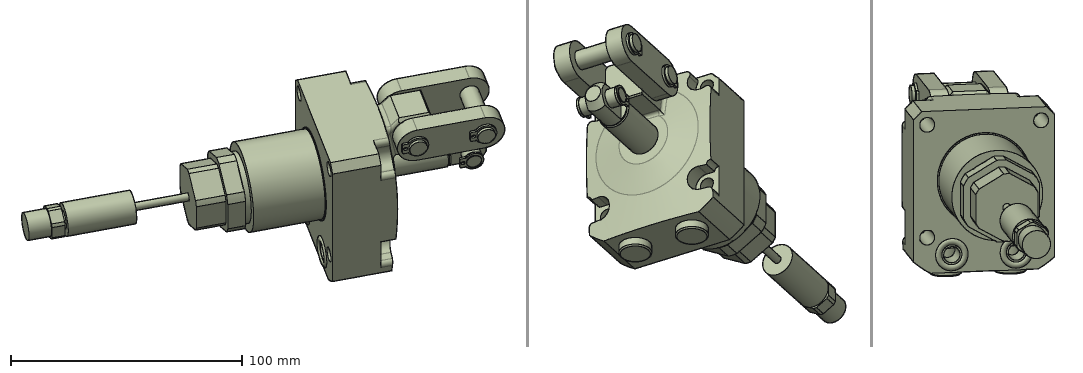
import cadquery as cq
import math


block_width = 62.0
block_height = 71.8
half_width = block_width / 2
block_top = half_width
block_bottom = block_top - block_height
top_chamfer = 3.5
bottom_chamfer_x = 5.9
bottom_chamfer_z = 4.6

cap_y = 33.2
cap_radius = 12.2
cone_break_y = 30.0
cone_break_radius = 25.6
cone_rim_y = 26.5
cone_rim_radius = 47.3

hole_offset = 25.0
hole_diameter = 6.5
pocket_floor_y = 21.6
pocket_radius = 5.5
pocket_edge_radius = 2.0
pocket_overrun = 2.0

barrel_radius = 20.0
barrel_end_y = -32.3
collar_radius = 20.5
collar_height = 0.5
neck_radius = 16.0
large_nut_start_y = -35.0
large_nut_end_y = -43.0
large_nut_flats = 33.4
large_nut_corners = 36.3
small_nut_end_y = -56.3
small_nut_flats = 27.3
small_nut_corners = 30.0

port_spacing = 28.4
port_x = port_spacing / 2
port_y = 16.0
port_z = -33.0
port_hole_radius = 3.5
port_ring_inner_radius = 4.5
port_ring_outer_radius = 7.1
port_ring_height = 0.8
plug_radius = 7.1
plug_height = 4.0
plug_chamfer = 0.6
plug_stem_radius = 5.5
plug_stem_top = -32.5
plug_bore_top = -27.7

lug_half_width = 9.0
lug_bottom = 11.1
lug_top = 30.9
lug_end_y = 50.0
lug_slope_start_y = 36.1
lug_slope_end_z = 23.0
lug_edge_chamfer = 1.7
lug_end_chamfer = 0.6
lug_root_y = 21.0
lug_root_fillet = 1.7

link_inner_x = lug_half_width
link_outer_x = 17.0
link_radius = 8.8
link_z = 22.0
link_near_y = 41.5
link_far_y = 72.0
link_pin_diameter = 8.6
link_pin_radius = link_pin_diameter / 2
link_pin_end_radius = 4.0
link_pin_half_length = 19.5
link_clip_diameter = 9.9
link_clip_radius = link_clip_diameter / 2
link_clip_ear_reach = 7.0

rod_radius = 7.4
rod_seat_y = 10.5
rod_shoulder_y = 58.8
rod_shoulder_chamfer = 0.6
eye_radius = 7.0
eye_half_width = 4.2
eye_flats_start_y = 59.5
eye_end_y = 76.2
eye_end_chamfer = 3.2
rod_pin_y = 68.9
rod_pin_radius = 4.2
rod_pin_end_radius = 3.4
rod_pin_shank_x = lug_half_width
rod_pin_half_length = 10.5
rod_clip_radius = 4.5
rod_clip_ear_reach = 6.3

clip_thickness = 1.0
clip_ear_width = 5.3
clip_ear_rounding = 0.8
clip_ear_hole_radius = 0.8
clip_ear_hole_inset = 1.5

cable_radius = 1.79
cable_seat_y = -49.4
connector_start_y = -81.3
connector_end_y = -112.0
connector_diameter = 15.0
connector_radius = connector_diameter / 2
connector_neck_radius = 4.2
connector_nut_start_y = -113.2
connector_nut_end_y = -119.0
connector_nut_flats = 13.7
connector_nut_corners = 15.0
connector_tip_diameter = 12.4
connector_tip_radius = connector_tip_diameter / 2
connector_tip_end_y = -129.2


def cylinder_y(radius, start_y, end_y, x=0, z=0):
    """Round bar along Y between two Y positions."""
    plane = cq.Workplane("XZ", origin=(x, start_y, z))
    return plane.circle(radius).extrude(start_y - end_y)


def cylinder_x(radius, start_x, end_x, y, z):
    """Round bar along X between two X positions."""
    return cq.Workplane("YZ", origin=(start_x, y, z)).circle(radius).extrude(end_x - start_x)


def cylinder_z(radius, start_z, end_z, x, y):
    """Round bar along Z between two Z positions."""
    return cq.Workplane("XY", origin=(x, y, start_z)).circle(radius).extrude(end_z - start_z)


def hex_nut_y(flats, corners, start_y, end_y):
    """Hexagon along Y with flats facing +-X and its corners turned down to a cylinder."""
    full_corners = flats / math.cos(math.pi / 6)
    hexagon = cq.Workplane("XZ", origin=(0, start_y, 0)).polygon(6, full_corners).extrude(start_y - end_y)
    turn_to_flats = 30
    hexagon = hexagon.rotate((0, 0, 0), (0, 1, 0), turn_to_flats)
    return hexagon.intersect(cylinder_y(corners / 2, start_y, end_y))


def make_block():
    """Chamfered block whose back face is domed by two cones."""
    outline = [
        (half_width, block_bottom + bottom_chamfer_z),
        (half_width, block_top - top_chamfer),
        (half_width - top_chamfer, block_top),
        (-half_width + top_chamfer, block_top),
        (-half_width, block_top - top_chamfer),
        (-half_width, block_bottom + bottom_chamfer_z),
        (-half_width + bottom_chamfer_x, block_bottom),
        (half_width - bottom_chamfer_x, block_bottom),
    ]
    prism = cq.Workplane("XZ").polyline(outline).close().extrude(-cap_y)
    dome_profile = [
        (0, 0),
        (cone_rim_radius, 0),
        (cone_rim_radius, cone_rim_y),
        (cone_break_radius, cone_break_y),
        (cap_radius, cap_y),
        (0, cap_y),
    ]
    dome = cq.Workplane("XY").polyline(dome_profile).close().revolve(360, (0, 0), (0, 1))
    return prism.intersect(dome)


def pocket_plane(z):
    """Sketch plane on the pocket floor, centred on the right-hand hole at height z."""
    return cq.Workplane("XZ", origin=(hole_offset, pocket_floor_y, z))


def make_upper_pocket():
    """Counterbore that opens over the top corner, with rounded edges."""
    edge = half_width - hole_offset
    outside = edge + pocket_overrun
    rounding = pocket_edge_radius
    near = edge - rounding
    far = math.sqrt((pocket_radius + rounding) ** 2 - near**2)
    share = pocket_radius / (pocket_radius + rounding)
    diagonal = pocket_radius * math.sqrt(0.5)
    profile = (
        pocket_plane(hole_offset)
        .moveTo(-far, outside)
        .lineTo(-far, edge)
        .radiusArc((-far * share, near * share), rounding)
        .threePointArc((-diagonal, -diagonal), (near * share, -far * share))
        .radiusArc((edge, -far), rounding)
        .lineTo(outside, -far)
        .lineTo(outside, outside)
        .close()
    )
    return profile.extrude(pocket_floor_y - cap_y)


def make_lower_pocket():
    """Counterbore that opens through the side face as a slot, with rounded edges."""
    edge = half_width - hole_offset
    outside = edge + pocket_overrun
    rounding = pocket_edge_radius
    mouth = pocket_radius + rounding
    profile = (
        pocket_plane(-hole_offset)
        .moveTo(outside, mouth)
        .lineTo(edge, mouth)
        .radiusArc((edge - rounding, pocket_radius), -rounding)
        .lineTo(0, pocket_radius)
        .threePointArc((-pocket_radius, 0), (0, -pocket_radius))
        .lineTo(edge - rounding, -pocket_radius)
        .radiusArc((edge, -mouth), rounding)
        .lineTo(outside, -mouth)
        .close()
    )
    return profile.extrude(pocket_floor_y - cap_y)


def make_lug():
    """Block on the dome between the link plates, sloping down towards the housing."""
    slope_end_y = lug_slope_start_y - (lug_top - lug_slope_end_z)
    profile = [
        (lug_root_y, lug_bottom),
        (lug_end_y, lug_bottom),
        (lug_end_y, lug_top),
        (lug_slope_start_y, lug_top),
        (slope_end_y, lug_slope_end_z),
        (lug_root_y, lug_slope_end_z),
    ]
    lug = cq.Workplane("YZ").polyline(profile).close().extrude(lug_half_width, both=True)
    lug = lug.faces(">Y").edges("|X").chamfer(lug_end_chamfer)
    return lug.faces(">Z").edges("|Y").chamfer(lug_edge_chamfer)


def make_port_ring(x):
    """Raised ring with a rounded crest around a front port."""
    middle = (port_ring_inner_radius + port_ring_outer_radius) / 2
    profile = (
        cq.Workplane("XY")
        .moveTo(port_ring_inner_radius, 0)
        .threePointArc((middle, -port_ring_height), (port_ring_outer_radius, 0))
        .close()
    )
    return profile.revolve(360, (0, 0), (0, 1)).translate((x, 0, port_z))


def make_port_plug(x):
    """Blanking plug below the block, with its stem inside the cross bore."""
    plug_bottom = block_bottom - plug_height
    head = cylinder_z(plug_radius, plug_bottom, block_bottom, x, port_y).faces("<Z").chamfer(plug_chamfer)
    return head.union(cylinder_z(plug_stem_radius, block_bottom, plug_stem_top, x, port_y))


def make_block_with_lug():
    """Block and lug, with a fillet all round the foot of the lug on the dome."""
    reach = lug_half_width + lug_root_fillet
    foot = cq.selectors.BoxSelector(
        (-reach, lug_root_y, lug_bottom - lug_root_fillet), (reach, cap_y + lug_root_fillet, lug_top)
    )
    dome_edges = cq.selectors.TypeSelector("CIRCLE")
    body = make_block().union(make_lug())
    return body.edges(foot - dome_edges).fillet(lug_root_fillet)


def make_housing():
    """Block with its lug, cylinder, nuts, mounting holes and ports."""
    housing = make_block_with_lug()

    housing = housing.union(cylinder_y(collar_radius, -collar_height, 0))
    housing = housing.union(cylinder_y(barrel_radius, barrel_end_y, 0))
    housing = housing.union(cylinder_y(neck_radius, large_nut_start_y, barrel_end_y))
    housing = housing.union(
        hex_nut_y(large_nut_flats, large_nut_corners, large_nut_end_y, large_nut_start_y)
    )
    housing = housing.union(
        hex_nut_y(small_nut_flats, small_nut_corners, small_nut_end_y, large_nut_end_y)
    )

    for pocket in (make_upper_pocket(), make_lower_pocket()):
        housing = housing.cut(pocket).cut(pocket.mirror("YZ"))
    for x in (-hole_offset, hole_offset):
        for z in (-hole_offset, hole_offset):
            housing = housing.cut(cylinder_y(hole_diameter / 2, 0, pocket_floor_y, x, z))

    for x in (-port_x, port_x):
        housing = housing.union(make_port_ring(x))
        housing = housing.cut(cylinder_z(plug_stem_radius, block_bottom, plug_bore_top, x, port_y))
        housing = housing.cut(cylinder_y(port_ring_inner_radius, -port_ring_height, 0, x, port_z))
        housing = housing.cut(cylinder_y(port_hole_radius, 0, port_y, x, port_z))
        housing = housing.union(make_port_plug(x))

    housing = housing.cut(
        cylinder_x(link_pin_radius, -lug_half_width, lug_half_width, link_near_y, link_z)
    )

    housing = housing.cut(cylinder_y(rod_radius, rod_seat_y, cap_y + rod_seat_y))
    return housing.cut(cylinder_y(cable_radius, small_nut_end_y, cable_seat_y))


def make_clip(radius, ear_reach, inner_x, y, z):
    """Retaining clip on the +X side, with its ear pointing to -Y."""
    ring = cylinder_x(radius, inner_x, inner_x + clip_thickness, y, z)
    ear = cq.Workplane("XY").box(clip_thickness, ear_reach, clip_ear_width, centered=(False, False, True))
    ear = ear.edges("|X and <Y").fillet(clip_ear_rounding)
    clip = ring.union(ear.translate((inner_x, y - ear_reach, z)))
    hole_y = y - ear_reach + clip_ear_hole_inset
    return clip.cut(cylinder_x(clip_ear_hole_radius, inner_x, inner_x + clip_thickness, hole_y, z))


def make_pin(shank_radius, end_radius, clip, shank_x, half_length, y, z):
    """Cross pin with a clip on each of its thinner ends."""
    pin = cylinder_x(shank_radius, -shank_x, shank_x, y, z)
    pin = pin.union(cylinder_x(end_radius, -half_length, half_length, y, z))
    return pin.union(clip).union(clip.mirror("YZ"))


def make_link():
    """Two plates joined by their near and far pins."""
    length = link_far_y - link_near_y + 2 * link_radius
    middle_y = (link_near_y + link_far_y) / 2
    plate = (
        cq.Workplane("YZ", origin=(link_inner_x, middle_y, link_z))
        .slot2D(length, 2 * link_radius)
        .extrude(link_outer_x - link_inner_x)
    )
    link = plate.union(plate.mirror("YZ"))
    for y in (link_near_y, link_far_y):
        clip = make_clip(link_clip_radius, link_clip_ear_reach, link_outer_x, y, link_z)
        pin = make_pin(
            link_pin_radius, link_pin_end_radius, clip, link_outer_x, link_pin_half_length, y, link_z
        )
        link = link.union(pin)
    return link


def make_rod():
    """Piston rod with a flattened eye and its cross pin."""
    shaft = cylinder_y(rod_radius, rod_seat_y, rod_shoulder_y).faces(">Y").chamfer(rod_shoulder_chamfer)
    eye = cylinder_y(eye_radius, rod_shoulder_y, eye_end_y).faces(">Y").chamfer(eye_end_chamfer)
    for side in (-1, 1):
        beside_eye = cq.Workplane("XY").box(
            rod_radius, eye_end_y, 2 * rod_radius, centered=(True, False, True)
        )
        beside_x = side * (eye_half_width + rod_radius / 2)
        eye = eye.cut(beside_eye.translate((beside_x, eye_flats_start_y, 0)))
    clip = make_clip(rod_clip_radius, rod_clip_ear_reach, rod_pin_shank_x, rod_pin_y, 0)
    pin = make_pin(
        rod_pin_radius, rod_pin_end_radius, clip, rod_pin_shank_x, rod_pin_half_length, rod_pin_y, 0
    )
    return shaft.union(eye).union(pin)


def make_cable():
    """Cable with its plug connector."""
    cable = cylinder_y(cable_radius, connector_start_y, cable_seat_y)
    cable = cable.union(cylinder_y(connector_radius, connector_end_y, connector_start_y))
    cable = cable.union(cylinder_y(connector_neck_radius, connector_nut_start_y, connector_end_y))
    nut = hex_nut_y(connector_nut_flats, connector_nut_corners, connector_nut_end_y, connector_nut_start_y)
    cable = cable.union(nut)
    return cable.union(cylinder_y(connector_tip_radius, connector_tip_end_y, connector_nut_end_y))


housing = make_housing()
link = make_link()
rod = make_rod()
cable = make_cable()

result = cq.Compound.makeCompound(
    [housing.solids().val(), link.solids().val(), rod.solids().val(), cable.solids().val()]
)